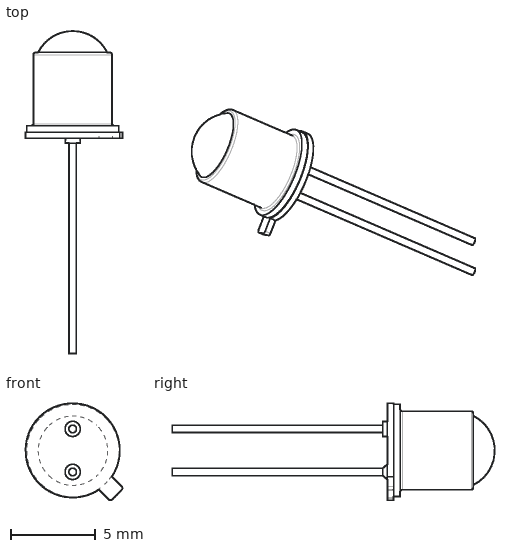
import cadquery as cq

body_height = 6.35
lead_length = 12.7

header_diameter = 5.58
header_thickness = 0.37
can_flange_diameter = 5.46
flange_stack_height = 0.76

can_diameter = 4.65
can_rim_height = 5.07
can_foot_fillet = 0.11
can_rim_fillet = 0.12

lens_base_radius = 2.05

tab_width = 1.1
tab_reach = 3.7
tab_corner_radius = 0.15
tab_angle = 45

lead_diameter = 0.45
lead_spacing = 2.54
seat_diameter = 0.9
seat_height = 0.28


def disc(diameter, y_start, y_end, z_center=0):
    """Cylinder along +Y between two Y positions."""
    plane = cq.Workplane("XZ", origin=(0, y_start, z_center))
    return plane.circle(diameter / 2).extrude(y_start - y_end)


def make_header():
    """Round header with the rounded index tab on its edge."""
    tab = (
        cq.Workplane("XY")
        .box(tab_reach, header_thickness, tab_width, centered=(False, False, True))
        .edges("|Y and >X")
        .fillet(tab_corner_radius)
        .rotate((0, 0, 0), (0, 1, 0), tab_angle)
    )
    return disc(header_diameter, 0, header_thickness).union(tab)


def make_can():
    """Can flange and wall, with a concave foot fillet and a rounded rim."""
    wall_radius = can_diameter / 2
    flange_radius = can_flange_diameter / 2
    profile = (
        cq.Workplane("XY")
        .moveTo(0, header_thickness)
        .lineTo(flange_radius, header_thickness)
        .lineTo(flange_radius, flange_stack_height)
        .lineTo(wall_radius + can_foot_fillet, flange_stack_height)
        .tangentArcPoint((wall_radius, flange_stack_height + can_foot_fillet), relative=False)
        .lineTo(wall_radius, can_rim_height - can_rim_fillet)
        .tangentArcPoint((wall_radius - can_rim_fillet, can_rim_height), relative=False)
        .lineTo(0, can_rim_height)
        .close()
    )
    return profile.revolve(360, (0, 0, 0), (0, 1, 0))


def make_lens():
    """Spherical cap standing on the can rim."""
    cap_height = body_height - can_rim_height
    sphere_radius = (lens_base_radius**2 + cap_height**2) / (2 * cap_height)
    sphere_center = body_height - sphere_radius
    sphere = cq.Workplane("XY").sphere(sphere_radius).translate((0, sphere_center, 0))
    return sphere.intersect(disc(can_diameter, flange_stack_height, body_height))


def make_lead(z_center):
    """Straight round lead, started inside the header."""
    return disc(lead_diameter, -lead_length, header_thickness, z_center)


def make_insulated_seat(z_center):
    """Cylindrical collar around the insulated lead."""
    return disc(seat_diameter, -seat_height, 0, z_center)


def make_weld_cone(z_center):
    """Conical weld bead that narrows from the header to the grounded lead."""
    return (
        cq.Workplane("XZ", origin=(0, 0, z_center))
        .circle(seat_diameter / 2)
        .workplane(offset=seat_height)
        .circle(lead_diameter / 2)
        .loft()
    )


upper_z = lead_spacing / 2
lower_z = -lead_spacing / 2

result = make_header().union(make_can()).union(make_lens())
result = result.union(make_insulated_seat(upper_z)).union(make_weld_cone(lower_z))
result = result.union(make_lead(upper_z)).union(make_lead(lower_z))